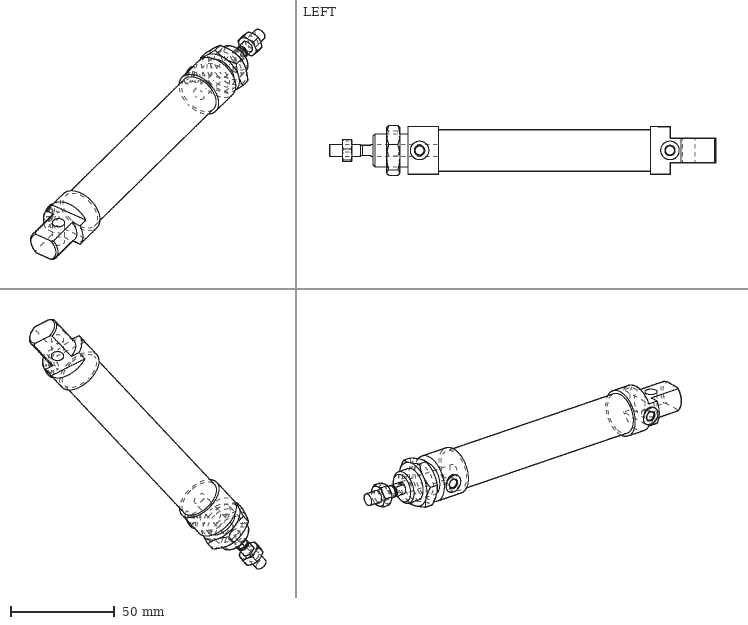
import cadquery as cq
import math


TONGUE_END = 17.0
REAR_FLATS_END = 22.0
REAR_CAP_END = 31.6
FRONT_CAP_START = 133.5
FRONT_CAP_END = 148.2
NECK_END = 165.2

CAP_DIA = 23.0
TUBE_DIA = 20.0
NECK_DIA = 16.0
NECK_CHAMFER = 1.1
TONGUE_DIA = 16.0
TONGUE_THICKNESS = 11.9
TONGUE_CHAMFER = 0.7
PIVOT_HOLE_DIA = 6.0
PIVOT_HOLE_Y = 13.0

PORT_POSITIONS = (22.1, 142.7)
PORT_BOSS_DIA = 9.0
PORT_MOUTH_DIA = 5.0
PORT_BORE_DIA = 4.3
PORT_DEPTH = 4.6

ROD_DIA = 6.0
ROD_START = FRONT_CAP_START
ROD_END = 186.0
ROD_GROOVE_START = 170.2
ROD_GROOVE_END = 171.1
ROD_GROOVE_DIA = 5.0
WRENCH_FLATS_START = 166.1
WRENCH_FLATS_WIDTH = 5.0

MOUNT_NUT_START = 152.1
MOUNT_NUT_THICKNESS = 6.3
MOUNT_NUT_FLATS = 22.0
MOUNT_NUT_ANGLE = -12.5
ROD_NUT_START = 175.2
ROD_NUT_THICKNESS = 4.6
ROD_NUT_FLATS = 10.0
ROD_NUT_ANGLE = -7.0
NUT_CHAMFER_ANGLE = 30.0


def cylinder_y(diameter, start, end):
    """Solid cylinder on the Y axis between two stations."""
    return cq.Workplane("XZ", origin=(0, start, 0)).circle(diameter / 2).extrude(start - end)


def box_y(width, height, start, end):
    """Box centred on the Y axis between two stations; width along X, height along Z."""
    return cq.Workplane("XZ", origin=(0, start, 0)).rect(width, height).extrude(start - end)


def make_tongue():
    """Round rear tongue with a chamfered end and flats above and below."""
    tongue = cylinder_y(TONGUE_DIA, 0, TONGUE_END).faces("<Y").chamfer(TONGUE_CHAMFER)
    return tongue.intersect(box_y(TONGUE_DIA, TONGUE_THICKNESS, 0, TONGUE_END))


def make_rear_cap():
    """Rear cap whose back part has the same flats as the tongue."""
    flat_part = cylinder_y(CAP_DIA, TONGUE_END, REAR_FLATS_END).intersect(
        box_y(CAP_DIA, TONGUE_THICKNESS, TONGUE_END, REAR_FLATS_END)
    )
    return flat_part.union(cylinder_y(CAP_DIA, REAR_FLATS_END, REAR_CAP_END))


def make_port_boss(y):
    """Round boss with a flat face tangent to the cap."""
    return cq.Workplane("YZ", origin=(-CAP_DIA / 2, y, 0)).circle(PORT_BOSS_DIA / 2).extrude(CAP_DIA / 2)


def make_port_hole(y):
    """Blind port hole with a chamfered mouth."""
    face = cq.Workplane("YZ", origin=(-CAP_DIA / 2, y, 0))
    bore = face.circle(PORT_BORE_DIA / 2).extrude(PORT_DEPTH)
    mouth_depth = (PORT_MOUTH_DIA - PORT_BORE_DIA) / 2
    mouth = face.circle(PORT_MOUTH_DIA / 2).extrude(mouth_depth, taper=45)
    return bore.union(mouth)


def make_housing():
    """Tongue, caps, tube and threaded neck in one solid, bored for the rod."""
    neck = cylinder_y(NECK_DIA, FRONT_CAP_END, NECK_END).faces(">Y").chamfer(NECK_CHAMFER)
    housing = (
        make_tongue()
        .union(make_rear_cap())
        .union(cylinder_y(TUBE_DIA, REAR_CAP_END, FRONT_CAP_START))
        .union(cylinder_y(CAP_DIA, FRONT_CAP_START, FRONT_CAP_END))
        .union(neck)
    )
    for y in PORT_POSITIONS:
        housing = housing.union(make_port_boss(y)).cut(make_port_hole(y))
    pivot_hole = (
        cq.Workplane("XY", origin=(0, PIVOT_HOLE_Y, 0))
        .circle(PIVOT_HOLE_DIA / 2)
        .extrude(TONGUE_THICKNESS, both=True)
    )
    return housing.cut(pivot_hole).cut(cylinder_y(ROD_DIA, ROD_START, NECK_END))


def make_rod():
    """Piston rod with wrench flats above and below and a groove behind the thread."""
    rod = (
        cylinder_y(ROD_DIA, ROD_START, ROD_GROOVE_START)
        .union(cylinder_y(ROD_GROOVE_DIA, ROD_GROOVE_START, ROD_GROOVE_END))
        .union(cylinder_y(ROD_DIA, ROD_GROOVE_END, ROD_END))
    )
    flats_band = box_y(ROD_DIA, ROD_DIA, WRENCH_FLATS_START, ROD_GROOVE_START)
    flats_core = box_y(ROD_DIA, WRENCH_FLATS_WIDTH, WRENCH_FLATS_START, ROD_GROOVE_START)
    return rod.cut(flats_band.cut(flats_core))


def make_nut(start, thickness, across_flats, bore_dia, angle):
    """Hex nut on the Y axis with conically chamfered corners at both faces."""
    across_corners = across_flats / math.cos(math.radians(30))
    end = start + thickness
    hexagon = (
        cq.Workplane("XZ", origin=(0, start, 0))
        .polygon(6, across_corners)
        .extrude(-thickness)
        .rotate((0, 0, 0), (0, 1, 0), -angle)
    )
    face_radius = across_flats / 2
    corner_radius = across_corners / 2
    chamfer_height = (corner_radius - face_radius) * math.tan(math.radians(NUT_CHAMFER_ANGLE))
    chamfer_envelope = (
        cq.Workplane("XY")
        .polyline([
            (0, start),
            (face_radius, start),
            (corner_radius, start + chamfer_height),
            (corner_radius, end - chamfer_height),
            (face_radius, end),
            (0, end),
        ])
        .close()
        .revolve(360, (0, 0, 0), (0, 1, 0))
    )
    return hexagon.intersect(chamfer_envelope).cut(cylinder_y(bore_dia, start, end))


housing = make_housing()
rod = make_rod()
mount_nut = make_nut(MOUNT_NUT_START, MOUNT_NUT_THICKNESS, MOUNT_NUT_FLATS, NECK_DIA, MOUNT_NUT_ANGLE)
rod_nut = make_nut(ROD_NUT_START, ROD_NUT_THICKNESS, ROD_NUT_FLATS, ROD_DIA, ROD_NUT_ANGLE)

result = cq.Compound.makeCompound([housing.val(), rod.val(), mount_nut.val(), rod_nut.val()])